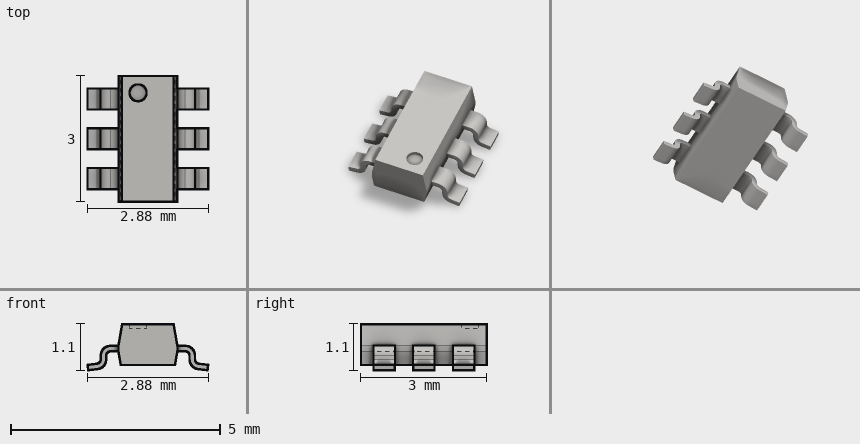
import cadquery as cq
import math

body_length = 3.0
lead_span = 2.88
overall_height = 1.1

standoff = 0.125
waist_half_width = 0.705
top_half_width = 0.615
bottom_half_width = 0.648

mark_diameter = 0.405
mark_depth = 0.1
mark_x = -0.235
mark_y = 1.095

leads_per_side = 3
lead_pitch = 0.948
lead_width = 0.51
lead_thickness = 0.135
lead_top = 0.588
lead_bottom = lead_top - lead_thickness
inner_radius = 0.102
outer_radius = inner_radius + lead_thickness
shoulder_length = 0.183
foot_tilt = math.radians(7)


def make_housing():
    """Molded body with a flat waist as tall as the leads and tapered sides above and below."""
    right_side = [
        (bottom_half_width, standoff),
        (waist_half_width, lead_bottom),
        (waist_half_width, lead_top),
        (top_half_width, overall_height),
    ]
    left_side = [(-x, z) for x, z in reversed(right_side)]
    body = (
        cq.Workplane("XZ")
        .polyline(right_side + left_side)
        .close()
        .extrude(body_length / 2, both=True)
    )
    mark = (
        cq.Workplane("XY", origin=(mark_x, mark_y, overall_height - mark_depth))
        .circle(mark_diameter / 2)
        .extrude(mark_depth)
    )
    return body.cut(mark)


def polar(center, radius, angle):
    """Point at a given radius and angle (radians, from +X toward +Z) around a center."""
    return (center[0] + radius * math.cos(angle), center[1] + radius * math.sin(angle))


def make_lead(y_center):
    """Gull-wing lead on the +X side: shoulder, downward bend, outward bend, tilted foot."""
    upper_center = (waist_half_width + shoulder_length, lead_top - outer_radius)
    lower_center_x = upper_center[0] + outer_radius + inner_radius
    foot_start_x = lower_center_x - inner_radius * math.sin(foot_tilt)
    foot_length = (lead_span / 2 - foot_start_x) / math.cos(foot_tilt)
    lower_center_z = outer_radius * math.cos(foot_tilt) + foot_length * math.sin(foot_tilt)
    lower_center = (lower_center_x, lower_center_z)

    foot_angle = 1.5 * math.pi - foot_tilt
    lower_mid_angle = (math.pi + foot_angle) / 2
    upper_mid_angle = math.pi / 4
    foot_top = polar(lower_center, inner_radius, foot_angle)
    foot_bottom = polar(lower_center, outer_radius, foot_angle)
    foot_run = foot_length * math.cos(foot_tilt)
    foot_drop = foot_length * math.sin(foot_tilt)

    return (
        cq.Workplane("XZ", origin=(0, y_center, 0))
        .moveTo(waist_half_width, lead_top)
        .lineTo(upper_center[0], lead_top)
        .threePointArc(
            polar(upper_center, outer_radius, upper_mid_angle),
            polar(upper_center, outer_radius, 0),
        )
        .lineTo(*polar(lower_center, inner_radius, math.pi))
        .threePointArc(
            polar(lower_center, inner_radius, lower_mid_angle),
            foot_top,
        )
        .lineTo(foot_top[0] + foot_run, foot_top[1] - foot_drop)
        .lineTo(foot_bottom[0] + foot_run, foot_bottom[1] - foot_drop)
        .lineTo(*foot_bottom)
        .threePointArc(
            polar(lower_center, outer_radius, lower_mid_angle),
            polar(lower_center, outer_radius, math.pi),
        )
        .lineTo(*polar(upper_center, inner_radius, 0))
        .threePointArc(
            polar(upper_center, inner_radius, upper_mid_angle),
            (upper_center[0], lead_bottom),
        )
        .lineTo(waist_half_width, lead_bottom)
        .close()
        .extrude(lead_width / 2, both=True)
    )


housing = make_housing()

leads = []
for index in range(leads_per_side):
    lead = make_lead((index - (leads_per_side - 1) / 2) * lead_pitch)
    leads.append(lead.val())
    leads.append(lead.mirror("YZ").val())

result = cq.Compound.makeCompound([housing.val(), *leads])